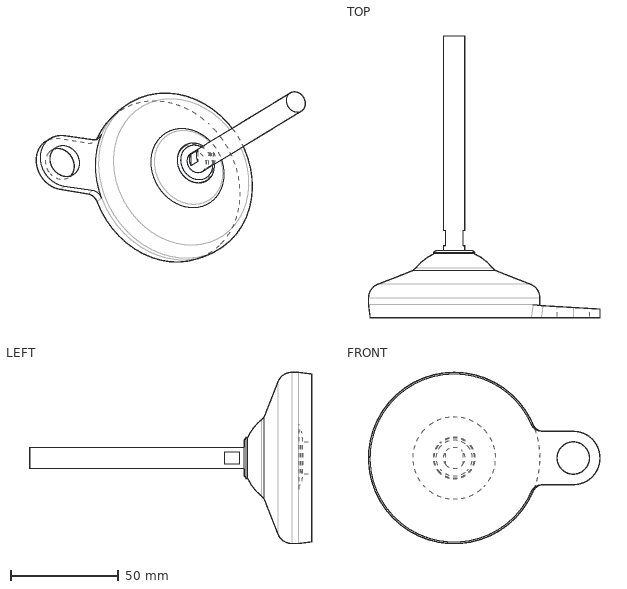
import cadquery as cq
import math


base_radius = 40.0
sole_radius = 39.2
wall_bottom = 6.3
wall_top = 9.3
rim_radius = 7.0
cone_angle = math.radians(21.4)

dome_radius = 23.0
dome_centre_height = 9.0
dome_top = 30.0
skirt_top = 23.35
skirt_angle = math.radians(42)

lug_length = 68.0
lug_width = 25.0
lug_end_radius = lug_width / 2
lug_hole_diameter = 15.0
lug_hole_x = lug_length - lug_end_radius
lug_tip_height = 4.2
lug_root_x = 30.0
lug_slope = math.radians(3.4)
lug_fillet = 5.0

spindle_radius = 5.0
spindle_length = 100.0
collar_radius = 9.75
collar_thickness = 1.5
collar_top_radius = 8.4
collar_bottom_radius = 9.4
collar_rim_height = dome_top + 0.6
flat_width = 8.25
flat_length = 7.0
flat_offset = 2.2


def polar(centre, radius, angle):
    """Point at a given angle on a circle; coordinates are (height, distance from the axis)."""
    return (centre[0] + radius * math.sin(angle), centre[1] + radius * math.cos(angle))


def make_round_base():
    """Revolved base: drafted wall, rounded rim, conical shoulder and a dome on a short skirt."""
    rim_centre = (wall_top, base_radius - rim_radius)
    cone_normal = math.pi / 2 - cone_angle
    rim_middle = polar(rim_centre, rim_radius, cone_normal / 2)
    cone_start = polar(rim_centre, rim_radius, cone_normal)

    dome_centre = (dome_centre_height, 0)
    skirt_normal = math.asin((skirt_top - dome_centre_height) / dome_radius)
    dome_start = polar(dome_centre, dome_radius, skirt_normal)
    shoulder_height = cone_start[0] + (cone_start[1] - dome_start[1]) * math.tan(cone_angle)
    skirt_width = (skirt_top - shoulder_height) / (math.tan(skirt_angle) - math.tan(cone_angle))
    skirt_end = (skirt_top - skirt_width * math.tan(skirt_angle), dome_start[1] + skirt_width)

    seat_normal = math.asin((dome_top - dome_centre_height) / dome_radius)
    dome_middle = polar(dome_centre, dome_radius, (skirt_normal + seat_normal) / 2)
    seat_edge = polar(dome_centre, dome_radius, seat_normal)

    return (
        cq.Workplane("YZ")
        .lineTo(0, sole_radius)
        .lineTo(wall_bottom, base_radius)
        .lineTo(wall_top, base_radius)
        .threePointArc(rim_middle, cone_start)
        .lineTo(*skirt_end)
        .lineTo(*dome_start)
        .threePointArc(dome_middle, seat_edge)
        .lineTo(dome_top, 0)
        .close()
        .revolve(360, (0, 0), (1, 0))
    )


def make_lug():
    """Round-ended tab whose upper face falls away towards the tip."""
    root_height = lug_tip_height + (lug_length - lug_root_x) * math.tan(lug_slope)
    wedge = (
        cq.Workplane("XY")
        .moveTo(lug_root_x, 0)
        .lineTo(lug_length, 0)
        .lineTo(lug_length, lug_tip_height)
        .lineTo(lug_root_x, root_height)
        .close()
        .extrude(lug_end_radius, both=True)
    )
    outline = (
        cq.Workplane("XZ")
        .moveTo(lug_root_x, -lug_end_radius)
        .lineTo(lug_hole_x, -lug_end_radius)
        .threePointArc((lug_length, 0), (lug_hole_x, lug_end_radius))
        .lineTo(lug_root_x, lug_end_radius)
        .close()
        .extrude(-root_height)
    )
    hole = cq.Workplane("XZ").center(lug_hole_x, 0).circle(lug_hole_diameter / 2).extrude(-root_height)
    return wedge.intersect(outline).cut(hole)


def make_base():
    """Round base and lug in one piece, the lug sides blended into the drafted wall."""
    base = make_round_base().union(make_lug())
    corner_x = math.sqrt(base_radius**2 - lug_end_radius**2)
    for side in (-1, 1):
        corner = (corner_x, wall_bottom / 2, side * lug_end_radius)
        base = base.edges(cq.selectors.NearestToPointSelector(corner)).fillet(lug_fillet)
    return base


def make_spindle():
    """Round rod with a bevelled collar and two spanner flats facing +X and -X."""
    collar_top = dome_top + collar_thickness
    collar = (
        cq.Workplane("YZ")
        .moveTo(dome_top, 0)
        .lineTo(dome_top, collar_bottom_radius)
        .lineTo(collar_rim_height, collar_radius)
        .lineTo(collar_top, collar_top_radius)
        .lineTo(collar_top, 0)
        .close()
        .revolve(360, (0, 0), (1, 0))
    )
    rod = cq.Workplane("XZ", origin=(0, collar_top, 0)).circle(spindle_radius).extrude(-spindle_length)
    spindle = collar.union(rod)

    cut_depth = spindle_radius - flat_width / 2
    cutter = cq.Workplane("XY").box(cut_depth, flat_length, 2 * spindle_radius)
    flat_centre_y = collar_top + flat_offset + flat_length / 2
    for side in (-1, 1):
        cutter_x = side * (flat_width + cut_depth) / 2
        spindle = spindle.cut(cutter.translate((cutter_x, flat_centre_y, 0)))
    return spindle


base = make_base()
spindle = make_spindle()

result = cq.Compound.makeCompound([base.val(), spindle.val()])